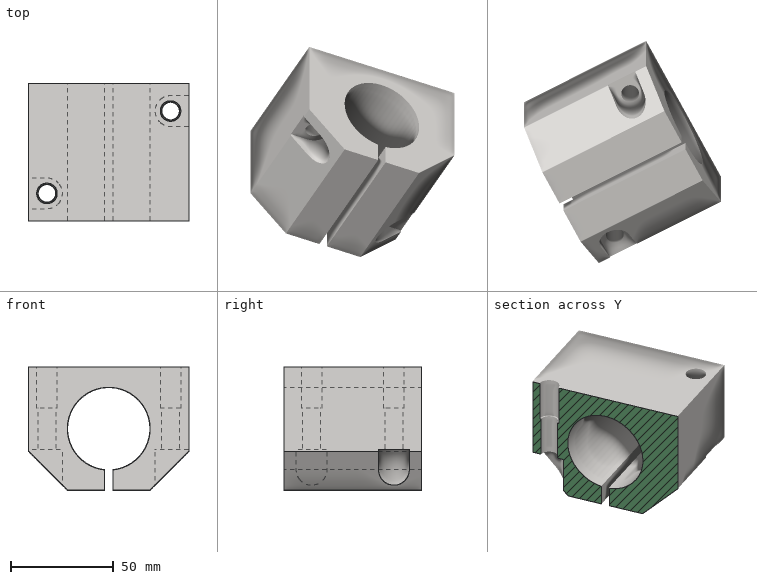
import cadquery as cq

length = 78.0
depth = 67.0
height = 60.0
bottom_chamfer = 19.0

bore_diameter = 40.0
bore_height = height / 2
slit_width = 4.0

hole_side_inset = 9.0
hole_end_inset = 13.5
hole_diameter = 8.6
upper_hole_diameter = 10.0
upper_hole_depth = 20.0

recess_width = 15.0
recess_height = 20.0


def make_block():
    half_length = length / 2
    outline = [
        (-half_length, height),
        (-half_length, bottom_chamfer),
        (-half_length + bottom_chamfer, 0),
        (half_length - bottom_chamfer, 0),
        (half_length, bottom_chamfer),
        (half_length, height),
    ]
    return cq.Workplane("XZ").polyline(outline).close().extrude(depth / 2, both=True)


def make_bore_and_slit():
    bore = cq.Workplane("XZ", origin=(0, 0, bore_height)).circle(bore_diameter / 2)
    bore = bore.extrude(depth / 2, both=True)
    slit = cq.Workplane("XY").rect(slit_width, depth).extrude(bore_height)
    return bore.union(slit)


def make_bolt_cut():
    """Stepped hole and U-shaped head recess at the -X, -Y corner."""
    x = hole_side_inset - length / 2
    y = hole_end_inset - depth / 2
    base = cq.Workplane("XY", origin=(x, y, 0))
    hole = base.circle(hole_diameter / 2).extrude(height)
    upper_hole = base.workplane(offset=height).circle(upper_hole_diameter / 2).extrude(-upper_hole_depth)
    round_end = base.circle(recess_width / 2).extrude(recess_height)
    side_opening = base.center(-hole_side_inset / 2, 0).rect(hole_side_inset, recess_width)
    side_opening = side_opening.extrude(recess_height)
    return hole.union(upper_hole).union(round_end).union(side_opening)


result = make_block().cut(make_bore_and_slit())
for angle in (0, 180):
    result = result.cut(make_bolt_cut().rotate((0, 0, 0), (0, 0, 1), angle))